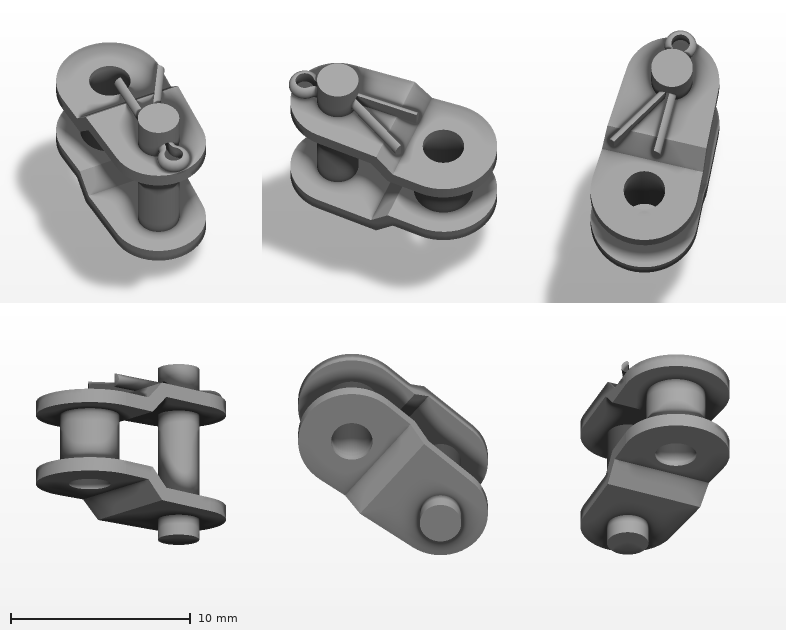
import cadquery as cq
import math


pitch = 6.35
bushing_end_radius = 2.99
pin_end_radius = 2.64
plate_thickness = 0.77
narrow_gap = 3.16
wide_gap = 5.21
crank_start = 1.85
crank_rise = (wide_gap - narrow_gap) / 2
crank_shift = plate_thickness * math.tan(math.radians(22.5))

bushing_diameter = 3.3
bore_diameter = 2.3
pin_diameter = 2.3
pin_bottom = -4.51
pin_length = 9.78
cotter_hole_diameter = 1.02

wire_radius = 0.38
cotter_z = 3.85
leg_offset = 0.12
loop_inner_radius = 0.51
loop_x = 8.32
neck_radius = 0.61
leg_end_x = 1.67
spread_angle = math.radians(30)


def make_plate_outline():
    """Two end arcs joined by their common tangents, as a prism taller than the crank."""
    slope = math.asin((bushing_end_radius - pin_end_radius) / pitch)
    big_x = bushing_end_radius * math.sin(slope)
    big_y = bushing_end_radius * math.cos(slope)
    small_x = pitch + pin_end_radius * math.sin(slope)
    small_y = pin_end_radius * math.cos(slope)
    return (
        cq.Workplane("XY")
        .moveTo(big_x, big_y)
        .threePointArc((-bushing_end_radius, 0), (big_x, -big_y))
        .lineTo(small_x, -small_y)
        .threePointArc((pitch + pin_end_radius, 0), (small_x, small_y))
        .close()
        .extrude(wide_gap)
    )


def make_upper_plate():
    left = -bushing_end_radius
    right = pitch + pin_end_radius
    low = narrow_gap / 2
    high = wide_gap / 2
    inner_start = crank_start + crank_shift
    cranked_strip = (
        cq.Workplane("XZ")
        .polyline([
            (left, low),
            (inner_start, low),
            (inner_start + crank_rise, high),
            (right, high),
            (right, high + plate_thickness),
            (crank_start + crank_rise, high + plate_thickness),
            (crank_start, low + plate_thickness),
            (left, low + plate_thickness),
        ])
        .close()
        .extrude(bushing_end_radius, both=True)
    )
    bushing_bore = cq.Workplane("XY").circle(bore_diameter / 2).extrude(wide_gap)
    pin_hole = cq.Workplane("XY").center(pitch, 0).circle(pin_diameter / 2).extrude(wide_gap)
    return cranked_strip.intersect(make_plate_outline()).cut(bushing_bore).cut(pin_hole)


def make_bushing():
    return (
        cq.Workplane("XY")
        .workplane(offset=-narrow_gap / 2)
        .circle(bushing_diameter / 2)
        .circle(bore_diameter / 2)
        .extrude(narrow_gap)
    )


def make_pin():
    shaft = (
        cq.Workplane("XY", origin=(pitch, 0, pin_bottom))
        .circle(pin_diameter / 2)
        .extrude(pin_length)
    )
    cotter_hole = (
        cq.Workplane("YZ", origin=(pitch, 0, cotter_z))
        .circle(cotter_hole_diameter / 2)
        .extrude(pin_diameter, both=True)
    )
    return shaft.cut(cotter_hole)


def make_cotter():
    """Sweep the half-round section along the inner flat side of the bent wire."""
    center_distance = neck_radius + loop_inner_radius
    neck_angle = math.asin((leg_offset + neck_radius) / center_distance)
    neck_x = loop_x - center_distance * math.cos(neck_angle)
    join_x = loop_x - loop_inner_radius * math.cos(neck_angle)
    join_y = loop_inner_radius * math.sin(neck_angle)
    half_turn = (math.pi / 2 - neck_angle) / 2
    middle_x = neck_x + neck_radius * math.sin(half_turn)
    middle_y = leg_offset + neck_radius * (1 - math.cos(half_turn))

    spread_x = pitch - pin_diameter / 2
    spread_end_y = leg_offset + (spread_x - leg_end_x) * math.tan(spread_angle)

    path = (
        cq.Workplane("XY", origin=(0, 0, cotter_z))
        .moveTo(leg_end_x, -leg_offset)
        .lineTo(neck_x, -leg_offset)
        .threePointArc((middle_x, -middle_y), (join_x, -join_y))
        .threePointArc((loop_x + loop_inner_radius, 0), (join_x, join_y))
        .threePointArc((middle_x, middle_y), (neck_x, leg_offset))
        .lineTo(spread_x, leg_offset)
        .lineTo(leg_end_x, spread_end_y)
    )
    return (
        cq.Workplane("YZ", origin=(leg_end_x, -leg_offset, cotter_z))
        .moveTo(0, -wire_radius)
        .threePointArc((-wire_radius, 0), (0, wire_radius))
        .close()
        .sweep(path, transition="right")
    )


plates = []
for turn in (0, 180):
    plates.append(make_upper_plate().rotate((0, 0, 0), (1, 0, 0), turn).val())

bushing = make_bushing()
pin = make_pin()
cotter = make_cotter()

result = cq.Compound.makeCompound([
    *plates,
    bushing.val(),
    pin.val(),
    cotter.val(),
])